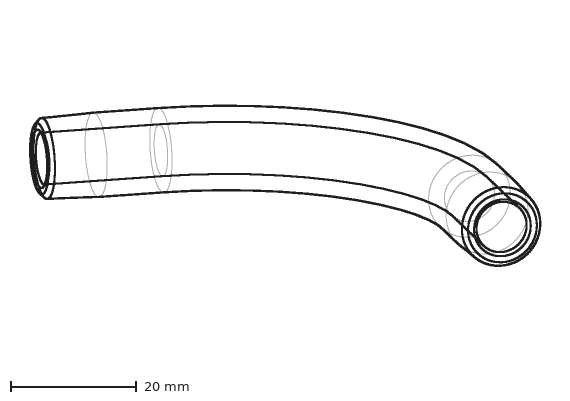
import cadquery as cq

overall_length = 66.75

outer_diameter = 13.5
bore_diameter = 8.3

leg_length = 20.0
taper_length = 9.35
taper_ratio = 1 / 16

outer_chamfer = 0.8
bore_chamfer = 0.55

outer_radius = outer_diameter / 2
bore_radius = bore_diameter / 2
bend_radius = overall_length - outer_radius - leg_length

front_axis_x = -overall_length / 2 + outer_radius
front_mouth_y = -overall_length / 2
side_axis_y = overall_length / 2 - outer_radius
side_mouth_x = overall_length / 2
bend_start_y = front_mouth_y + leg_length


def bend():
    """Hollow quarter-circle elbow joining the two legs."""
    return (
        cq.Workplane("XZ", origin=(front_axis_x, bend_start_y, 0))
        .circle(outer_radius)
        .circle(bore_radius)
        .revolve(90, (bend_radius, 0), (bend_radius, -1))
    )


def leg():
    """Hollow leg along +Y, mouth at the origin, tapered and chamfered at the mouth."""
    taper_end_radius = outer_radius - (taper_length - outer_chamfer) * taper_ratio / 2
    return (
        cq.Workplane("XY")
        .moveTo(bore_radius + bore_chamfer, 0)
        .lineTo(taper_end_radius - outer_chamfer, 0)
        .lineTo(taper_end_radius, outer_chamfer)
        .lineTo(outer_radius, taper_length)
        .lineTo(outer_radius, leg_length)
        .lineTo(bore_radius, leg_length)
        .lineTo(bore_radius, bore_chamfer)
        .close()
        .revolve(360, (0, 0), (0, 1))
    )


front_leg = leg().translate((front_axis_x, front_mouth_y, 0))
side_leg = leg().rotate((0, 0, 0), (0, 0, 1), 90).translate((side_mouth_x, side_axis_y, 0))

result = bend().union(front_leg).union(side_leg)